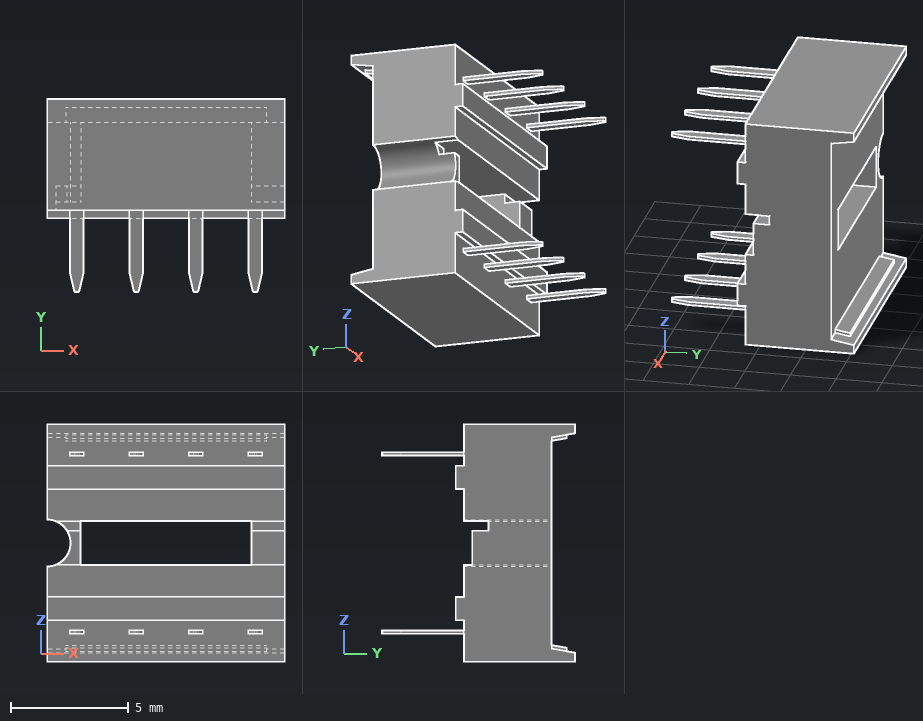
import cadquery as cq


length = 10.16
width = 10.16
body_depth = 3.75
half_length = length / 2
half_width = width / 2

slot_width = 1.86
bridge_length = 1.43
bridge_recess = 0.35
groove_recess = 1.05
groove_bottom_z = 0.53
notch_radius = 1.0

ridge_height = 0.35
ridge_width = 1.0
ridge_center_z = 2.8

lip_depth = 1.0
lip_edge_thickness = 0.4
lip_root_thickness = 0.57
pad_depth = 0.65
pad_thickness = 0.15
pad_end_inset = 0.8

pins_per_row = 4
pin_pitch = 2.54
row_spacing = 7.62
pin_length = 3.5
pin_width = 0.58
pin_thickness = 0.15
pin_taper_length = 0.8
pin_tip_width = 0.2
pin_tip_radius = 0.08


def box_between(x_range, y_range, z_range):
    """Axis-aligned box spanning the given (low, high) ranges."""
    size = [high - low for low, high in (x_range, y_range, z_range)]
    corner = (x_range[0], y_range[0], z_range[0])
    return cq.Workplane("XY").box(*size, centered=False).translate(corner)


def make_body():
    """Block with the window, recessed bridges and the end notch cut out."""
    full_x = (-half_length, half_length)
    slot_z = (-slot_width / 2, slot_width / 2)
    window_half_length = half_length - bridge_length

    body = box_between(full_x, (0, body_depth), (-half_width, half_width))
    window = box_between((-window_half_length, window_half_length), (0, body_depth), slot_z)
    recess = box_between(full_x, (0, bridge_recess), slot_z)
    groove = box_between(full_x, (0, groove_recess), (groove_bottom_z, slot_width / 2))
    notch = (
        cq.Workplane("XZ", origin=(-half_length, body_depth, 0))
        .circle(notch_radius)
        .extrude(body_depth)
    )
    return body.cut(window).cut(recess).cut(groove).cut(notch)


def make_ridge():
    """Standoff ridge on the +Z rail."""
    return box_between(
        (-half_length, half_length),
        (-ridge_height, 0),
        (ridge_center_z - ridge_width / 2, ridge_center_z + ridge_width / 2),
    )


def extrude_along_x(points, extrusion_length):
    """Prism of a (Y, Z) outline, centered on X = 0."""
    return cq.Workplane("YZ").polyline(points).close().extrude(extrusion_length / 2, both=True)


def make_lip():
    """Lip on the +Z edge with its pad."""
    lip_end = body_depth + lip_depth
    pad_end = body_depth + pad_depth
    root_z = half_width - lip_root_thickness
    edge_z = half_width - lip_edge_thickness
    slope = (edge_z - root_z) / lip_depth
    pad_end_z = root_z + slope * pad_depth

    lip = extrude_along_x(
        [(body_depth, half_width), (lip_end, half_width), (lip_end, edge_z), (body_depth, root_z)],
        length,
    )
    pad = extrude_along_x(
        [
            (body_depth, root_z),
            (pad_end, pad_end_z),
            (pad_end, pad_end_z - pad_thickness),
            (body_depth, root_z - pad_thickness),
        ],
        length - 2 * pad_end_inset,
    )
    return lip.union(pad)


def make_pin(x):
    """Flat pin of the +Z row, tapered to a narrow tip with rounded corners."""
    taper_start_y = pin_taper_length - pin_length
    outline = [
        (-pin_width / 2, 0),
        (-pin_width / 2, taper_start_y),
        (-pin_tip_width / 2, -pin_length),
        (pin_tip_width / 2, -pin_length),
        (pin_width / 2, taper_start_y),
        (pin_width / 2, 0),
    ]
    return (
        cq.Workplane("XY", origin=(x, 0, row_spacing / 2))
        .polyline(outline)
        .close()
        .extrude(pin_thickness / 2, both=True)
        .faces("<Y")
        .edges("|Z")
        .fillet(pin_tip_radius)
    )


def make_rail_details():
    """Ridge, lip and pin row belonging to the +Z rail."""
    details = [make_ridge(), make_lip()]
    for index in range(pins_per_row):
        details.append(make_pin((index - (pins_per_row - 1) / 2) * pin_pitch))
    return details


result = make_body()
for detail in make_rail_details():
    result = result.union(detail).union(detail.mirror("XY"))